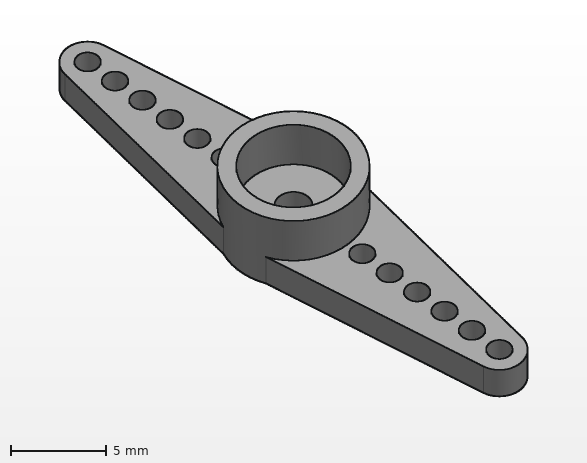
import cadquery as cq
import math

length = 33.0
hub_diameter = 8.0
hub_height = 5.0
arm_thickness = 2.0

socket_diameter = 6.0
screw_hole_diameter = 2.0
socket_floor = arm_thickness

tip_radius = 1.5
tip_center = length / 2 - tip_radius
shoulder_x = 1.55

holes_per_arm = 6
hole_diameter = 1.4
first_hole_x = 5.0
hole_pitch = (tip_center - first_hole_x) / (holes_per_arm - 1)


def arm_plate():
    """Double-ended arm whose straight edges run tangent to the round tips."""
    shoulder_y = math.sqrt((hub_diameter / 2) ** 2 - shoulder_x ** 2)
    run = tip_center - shoulder_x
    edge_angle = math.atan2(shoulder_y, run) - math.asin(tip_radius / math.hypot(run, shoulder_y))
    tangent_x = tip_center + tip_radius * math.sin(edge_angle)
    tangent_y = tip_radius * math.cos(edge_angle)
    return (
        cq.Workplane("XY")
        .moveTo(-shoulder_x, shoulder_y)
        .lineTo(shoulder_x, shoulder_y)
        .lineTo(tangent_x, tangent_y)
        .threePointArc((length / 2, 0), (tangent_x, -tangent_y))
        .lineTo(shoulder_x, -shoulder_y)
        .lineTo(-shoulder_x, -shoulder_y)
        .lineTo(-tangent_x, -tangent_y)
        .threePointArc((-length / 2, 0), (-tangent_x, tangent_y))
        .close()
        .extrude(arm_thickness)
    )


def cylinder(diameter, bottom, top):
    """Upright cylinder on the hub axis."""
    return cq.Workplane("XY").workplane(offset=bottom).circle(diameter / 2).extrude(top - bottom)


def arm_holes():
    """Cutters for the evenly spaced through holes in both arms."""
    positions = [
        (side * (first_hole_x + index * hole_pitch), 0)
        for side in (-1, 1)
        for index in range(holes_per_arm)
    ]
    return cq.Workplane("XY").pushPoints(positions).circle(hole_diameter / 2).extrude(arm_thickness)


hub = cylinder(hub_diameter, 0, hub_height)
socket = cylinder(socket_diameter, socket_floor, hub_height)
screw_hole = cylinder(screw_hole_diameter, 0, socket_floor)

result = arm_plate().union(hub).cut(socket).cut(screw_hole).cut(arm_holes())